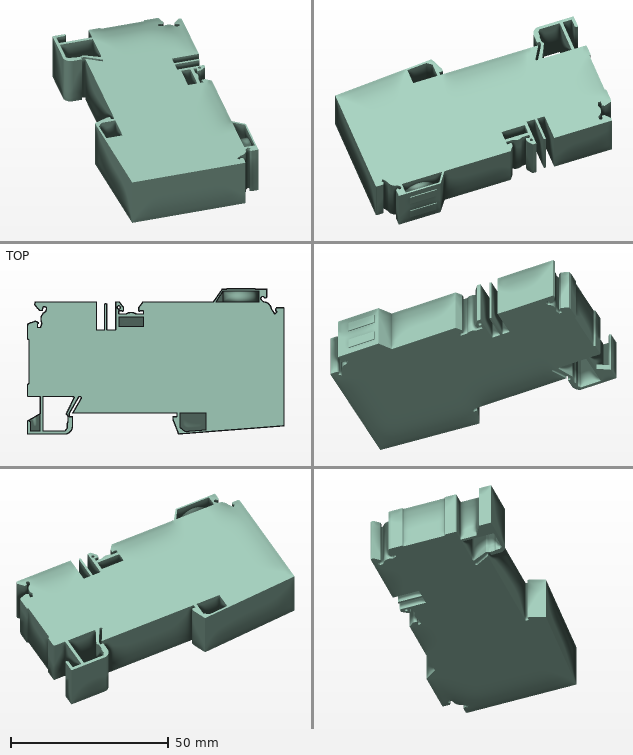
import cadquery as cq
import math


LENGTH = 81.6
THICKNESS = 16.0
FLOOR = 2.0
EDGE_BREAK = 0.25

TOP_Y = 42.0
BASE_Y = 6.65
HEEL_Y = 11.9
RIGHT_TOP_Y = 40.15
RIGHT_BOTTOM_Y = 2.6

DOME_RADIUS = 2.7
DOME_RISE = 0.5
LEFT_DOME_X = 7.0
LEFT_DOME_Y = 36.5

SLOT_LEFT = 22.0
SLOT_RIGHT = 28.05
SLOT_FLOOR_Y = 33.1
FIN_X = 24.9
FIN_WIDTH = 0.75
FIN_SIDE_Y = 41.2
FIN_CROWN = 0.2

SEAT_X = 32.98
SEAT_HALF_WIDTH = 3.92
SEAT_MOUTH_HALF_WIDTH = 2.4
SEAT_TOP_HALF_WIDTH = 3.75
SEAT_FLOOR_Y = 38.16
SEAT_LIP_Y = 39.15
SEAT_TIP_Y = 40.2
SEAT_BARB_Y = 38.95
SEAT_BARB_HALF_WIDTH = 2.7
SEAT_BARB_ROOT_HALF_WIDTH = 2.95
PIN_HOLE_DIAMETER = 1.0

WINDOW_TOP_Y = 37.15
WINDOW_BOTTOM_Y = 34.1

GRIP_DEPTH = 0.5
GRIP_BOTTOM_Y = 15.9
GRIP_TOP_Y = 30.1
GRIP_FLARE = 0.2

FOOT_WALL = 1.0
WEB_X = 4.05
LIP_Y = 4.05
LIP_PEAK_X = 0.4
LIP_PEAK_Y = 4.35
LIP_INNER_Y = 3.85
GUSSET_TOP_Y = 6.45
FOOT_RIGHT = 14.4
FOOT_TOP_Y = 5.56
FOOT_CORNER_RADIUS = 2.7
FOOT_CORNER_X = 12.38

ARM_INNER_X = 14.9
ARM_ROOT_CHAMFER_X = 0.4
ARM_ROOT_CHAMFER_Y = 0.25
ARM_OUTER_X = 16.43
ARM_KNEE_X = 12.38
ARM_KNEE_Y = 6.45
ARM_FOOT_X = 13.4
FOOT_NECK_X = 12.9
FOOT_NECK_TOP_Y = 5.65
FOOT_NECK_BOTTOM_Y = 3.9
FOOT_INNER_X = 12.64
FOOT_INNER_TOP_Y = 3.3
FOOT_INNER_BOTTOM_Y = 1.9
FOOT_FLOOR_X = 12.0
ARM_SLOT_WIDTH = 0.5
ARM_SLOT_CORNER_X = 17.2
ARM_SLOT_CORNER_Y = 11.5

HOOK_TIP_X = 46.25
HOOK_ROOT_X = 47.5
HOOK_TOP_Y = 5.56
HOOK_NOSE_Y = 4.6
HOOK_BOTTOM_X = 48.04
HOOK_POCKET_LEFT = 48.5
HOOK_POCKET_RIGHT = 56.7
HOOK_POCKET_WALL = 0.65
HOOK_POCKET_CORNER_X = 50.1
HOOK_POCKET_CORNER_Y = 2.1

COVER_Y = 46.0
COVER_WALL = 0.5
COVER_LEFT = 59.1
COVER_SHOULDER_X = 61.9
COVER_RIGHT = 76.05
COVER_CAVITY_LEFT = 59.95
COVER_CAVITY_SHOULDER_X = 62.2
COVER_LIP_Y = 43.6

BUTTON_DIAMETER = 11.4
BUTTON_X = 67.85
MID_Z = THICKNESS / 2
BAR_LENGTH = 9.0
BAR_WIDTH = 3.5
BAR_HEIGHT = 0.25
BAR_OFFSET = 3.75


def prism(points, bottom=0.0):
    """Closed X-Y polygon raised from `bottom` to the upper face."""
    return cq.Workplane("XY").workplane(offset=bottom).polyline(points).close().extrude(THICKNESS - bottom)


def plate(left, low, right, high, bottom=0.0):
    """Rectangle given by its X-Y limits, raised to the upper face."""
    return prism([(left, low), (right, low), (right, high), (left, high)], bottom)


def underside_y(x):
    """Height of the sloping underside at the right end."""
    return RIGHT_BOTTOM_Y * (x - HOOK_BOTTOM_X) / (LENGTH - HOOK_BOTTOM_X)


def main_block():
    """Housing outline without the rail foot, the button cover and the label seats."""
    return prism([
        (0, HEEL_Y + EDGE_BREAK),
        (EDGE_BREAK, HEEL_Y),
        (ARM_OUTER_X, HEEL_Y),
        (FOOT_RIGHT, BASE_Y),
        (HOOK_ROOT_X, BASE_Y),
        (HOOK_ROOT_X, HOOK_TOP_Y),
        (HOOK_TIP_X, HOOK_TOP_Y),
        (HOOK_TIP_X, HOOK_NOSE_Y),
        (HOOK_BOTTOM_X, 0),
        (LENGTH, RIGHT_BOTTOM_Y),
        (LENGTH, TOP_Y),
        (0, TOP_Y),
    ])


def rail_foot():
    """Spring foot: end lip, web, bottom wall and the slanted arm that joins the block."""
    centre_x = FOOT_RIGHT - FOOT_CORNER_RADIUS
    corner_top_y = math.sqrt(FOOT_CORNER_RADIUS**2 - (FOOT_CORNER_X - centre_x) ** 2)
    shell = (
        cq.Workplane("XY")
        .moveTo(0, 0)
        .lineTo(FOOT_CORNER_X, 0)
        .radiusArc((FOOT_RIGHT, corner_top_y), -FOOT_CORNER_RADIUS)
        .lineTo(FOOT_RIGHT, FOOT_TOP_Y)
        .lineTo(ARM_FOOT_X, FOOT_TOP_Y)
        .lineTo(ARM_FOOT_X, BASE_Y)
        .lineTo(ARM_OUTER_X, HEEL_Y)
        .lineTo(ARM_INNER_X - ARM_ROOT_CHAMFER_X, HEEL_Y)
        .lineTo(ARM_INNER_X, HEEL_Y - ARM_ROOT_CHAMFER_Y)
        .lineTo(ARM_KNEE_X, ARM_KNEE_Y)
        .lineTo(FOOT_NECK_X, FOOT_NECK_TOP_Y)
        .lineTo(FOOT_NECK_X, FOOT_NECK_BOTTOM_Y)
        .lineTo(FOOT_INNER_X, FOOT_INNER_TOP_Y)
        .lineTo(FOOT_INNER_X, FOOT_INNER_BOTTOM_Y)
        .lineTo(FOOT_FLOOR_X, FOOT_WALL)
        .lineTo(FOOT_WALL, FOOT_WALL)
        .lineTo(FOOT_WALL, LIP_INNER_Y)
        .lineTo(LIP_PEAK_X, LIP_PEAK_Y)
        .lineTo(0, LIP_Y)
        .close()
        .extrude(THICKNESS)
    )
    web = plate(WEB_X, 0, WEB_X + FOOT_WALL, HEEL_Y)
    gusset = (
        cq.Workplane("XY")
        .polyline([(LIP_PEAK_X, 0), (WEB_X, 0), (WEB_X, GUSSET_TOP_Y), (LIP_PEAK_X, LIP_PEAK_Y)])
        .close()
        .extrude(FLOOR)
    )
    return shell.union(web).union(gusset)


def arm_slot():
    """Narrow slanted slot that frees the arm of the rail foot."""
    return prism([
        (ARM_OUTER_X, HEEL_Y),
        (ARM_OUTER_X + ARM_SLOT_WIDTH, HEEL_Y),
        (ARM_SLOT_CORNER_X, ARM_SLOT_CORNER_Y),
        (FOOT_RIGHT, BASE_Y),
        (ARM_FOOT_X, BASE_Y),
    ])


def grip_recess():
    """Shallow recess in the left end with slightly flared end walls."""
    return prism([
        (0, GRIP_BOTTOM_Y - GRIP_FLARE),
        (GRIP_DEPTH, GRIP_BOTTOM_Y + GRIP_FLARE),
        (GRIP_DEPTH, GRIP_TOP_Y - GRIP_FLARE),
        (0, GRIP_TOP_Y + GRIP_FLARE),
    ])


def test_slots():
    """Deep slot in the top edge, divided by a round-topped fin."""
    fin = (
        cq.Workplane("XY")
        .moveTo(FIN_X - FIN_WIDTH / 2, SLOT_FLOOR_Y)
        .lineTo(FIN_X + FIN_WIDTH / 2, SLOT_FLOOR_Y)
        .lineTo(FIN_X + FIN_WIDTH / 2, FIN_SIDE_Y)
        .threePointArc((FIN_X, FIN_SIDE_Y + FIN_CROWN), (FIN_X - FIN_WIDTH / 2, FIN_SIDE_Y))
        .close()
        .extrude(THICKNESS)
    )
    return plate(SLOT_LEFT, SLOT_FLOOR_Y, SLOT_RIGHT, TOP_Y).cut(fin)


def top_label_seat():
    """Symmetric undercut seat in the top edge with a domed floor."""
    half = [
        (SEAT_HALF_WIDTH, SEAT_FLOOR_Y),
        (SEAT_HALF_WIDTH, SEAT_LIP_Y),
        (SEAT_BARB_ROOT_HALF_WIDTH, SEAT_LIP_Y),
        (SEAT_BARB_HALF_WIDTH, SEAT_BARB_Y),
        (SEAT_MOUTH_HALF_WIDTH, SEAT_LIP_Y),
        (SEAT_MOUTH_HALF_WIDTH, SEAT_TIP_Y),
        (SEAT_TOP_HALF_WIDTH, TOP_Y),
    ]
    right = [(SEAT_X + x, y) for x, y in half]
    left = [(SEAT_X - x, y) for x, y in reversed(half)]
    dome = (
        cq.Workplane("XY")
        .center(SEAT_X, SEAT_FLOOR_Y + DOME_RISE - DOME_RADIUS)
        .circle(DOME_RADIUS)
        .extrude(THICKNESS)
    )
    return prism(right + left).cut(dome)


def left_label_seat():
    """Undercut seat across the upper left corner with a domed floor."""
    dome = cq.Workplane("XY").center(LEFT_DOME_X, LEFT_DOME_Y).circle(DOME_RADIUS).extrude(THICKNESS)
    seat = prism([
        (0, TOP_Y),
        (2.53, TOP_Y),
        (2.27, 41.1),
        (3.95, 39.17),
        (4.78, 39.17),
        (5.05, 40.43),
        (5.56, 40.43),
        (6.04, 40.2),
        (6.04, 39.57),
        (5.8, 38.85),
        (5.3, 38.6),
        (4.9, 37.0),
        (4.9, 35.4),
        (4.55, 35.0),
        (4.17, 33.86),
        (3.29, 33.86),
        (3.29, 34.95),
        (3.54, 35.15),
        (3.54, 35.43),
        (2.65, 35.88),
        (0.2, 35.05),
        (0, 34.2),
    ])
    return seat.cut(dome)


def right_label_seat():
    """Undercut seat across the upper right corner; its floor bulges between two notches."""
    return (
        cq.Workplane("XY")
        .moveTo(COVER_RIGHT, COVER_LIP_Y)
        .lineTo(75.75, 43.2)
        .lineTo(75.3, 43.2)
        .lineTo(75.05, 43.65)
        .lineTo(74.5, 43.65)
        .lineTo(74.05, 42.96)
        .lineTo(74.95, 42.05)
        .lineTo(75.6, 41.95)
        .radiusArc((77.55, 39.75), DOME_RADIUS)
        .lineTo(78.6, 38.15)
        .lineTo(79.35, 38.85)
        .lineTo(78.85, 39.15)
        .lineTo(78.85, 39.75)
        .lineTo(79.2, RIGHT_TOP_Y)
        .lineTo(LENGTH - EDGE_BREAK, RIGHT_TOP_Y)
        .lineTo(LENGTH, RIGHT_TOP_Y - EDGE_BREAK)
        .lineTo(LENGTH, COVER_LIP_Y)
        .close()
        .extrude(THICKNESS)
    )


def button_cover():
    """Raised block on the top edge, left solid here."""
    return prism([
        (COVER_LEFT, TOP_Y),
        (COVER_SHOULDER_X, COVER_Y),
        (COVER_RIGHT, COVER_Y),
        (COVER_RIGHT, TOP_Y),
    ])


def cover_cavity():
    """Blind cavity under the cover, ending against the side of the button."""
    ceiling = COVER_Y - COVER_WALL
    right = BUTTON_X + BUTTON_DIAMETER / 2
    return prism([
        (COVER_CAVITY_LEFT, TOP_Y),
        (COVER_CAVITY_SHOULDER_X, ceiling),
        (right, ceiling),
        (right, TOP_Y),
    ], FLOOR)


def hook_pocket():
    """Blind pocket in the rail hook, with its floor parallel to the underside."""
    return prism([
        (HOOK_POCKET_LEFT, BASE_Y),
        (HOOK_POCKET_LEFT, HOOK_POCKET_CORNER_Y),
        (HOOK_POCKET_CORNER_X, underside_y(HOOK_POCKET_CORNER_X) + HOOK_POCKET_WALL),
        (HOOK_POCKET_RIGHT, underside_y(HOOK_POCKET_RIGHT) + HOOK_POCKET_WALL),
        (HOOK_POCKET_RIGHT, BASE_Y),
    ], FLOOR)


def make_housing():
    window = plate(SEAT_X - SEAT_HALF_WIDTH, WINDOW_BOTTOM_Y, SEAT_X + SEAT_HALF_WIDTH, WINDOW_TOP_Y, FLOOR)
    pin_hole = (
        cq.Workplane("XY")
        .center(SEAT_X - SEAT_HALF_WIDTH, SEAT_TIP_Y)
        .circle(PIN_HOLE_DIAMETER / 2)
        .extrude(THICKNESS)
    )
    body = main_block().union(rail_foot()).union(button_cover())
    cuts = [
        grip_recess(),
        arm_slot(),
        test_slots(),
        top_label_seat(),
        left_label_seat(),
        right_label_seat(),
        window,
        pin_hole,
        cover_cavity(),
        hook_pocket(),
    ]
    for cut in cuts:
        body = body.cut(cut)
    for side in (-1, 1):
        bar = cq.Workplane("XY").box(BAR_LENGTH, BAR_HEIGHT, BAR_WIDTH, centered=(True, False, True))
        body = body.union(bar.translate((BUTTON_X, COVER_Y, MID_Z + side * BAR_OFFSET)))
    return body


def make_button():
    """Round button between the top edge and the cover, with its axis along Y."""
    disc_height = COVER_Y - COVER_WALL - TOP_Y
    return (
        cq.Workplane("XZ", origin=(BUTTON_X, TOP_Y, MID_Z))
        .circle(BUTTON_DIAMETER / 2)
        .extrude(-disc_height)
    )


housing = make_housing()
button = make_button()

result = cq.Compound.makeCompound([housing.val(), button.val()])